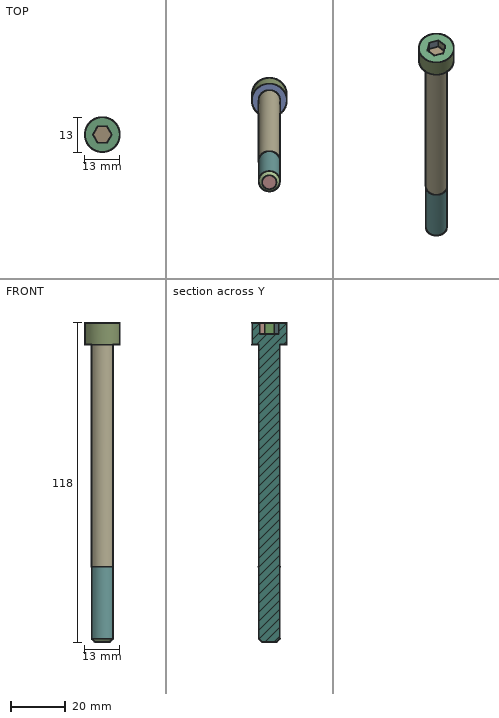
import cadquery as cq
import math

total_length = 118.0
head_diameter = 13.0
head_height = 8.0
shank_diameter = 8.0
thread_diameter = 7.9
thread_length = 28.0
tip_chamfer = 1.3
socket_across_flats = 6.0
socket_depth = 4.0

top_z = total_length / 2
head_bottom_z = top_z - head_height
thread_end_z = -total_length / 2
thread_start_z = thread_end_z + thread_length


def cylinder(diameter, bottom_z, height):
    return cq.Workplane("XY").workplane(offset=bottom_z).circle(diameter / 2).extrude(height)


def threaded_end():
    """Plain cylinder standing in for the thread, with a chamfered tip."""
    end = cylinder(thread_diameter, thread_end_z, thread_length)
    return end.faces("<Z").chamfer(tip_chamfer)


def hex_socket():
    """Hexagon with two corners on the X axis, sunk from the head's top."""
    across_corners = socket_across_flats / math.cos(math.pi / 6)
    return (
        cq.Workplane("XY")
        .workplane(offset=top_z - socket_depth)
        .polygon(6, across_corners)
        .extrude(socket_depth)
    )


head = cylinder(head_diameter, head_bottom_z, head_height)
shank = cylinder(shank_diameter, thread_start_z, head_bottom_z - thread_start_z)

result = head.union(shank).union(threaded_end()).cut(hex_socket())